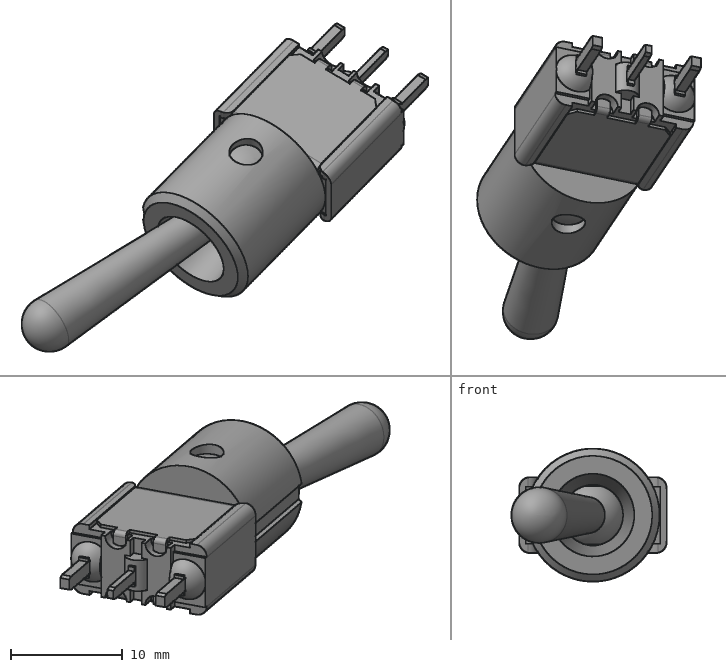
import cadquery as cq
import math


bushing_radius = 5.95
bushing_length = 12.0
bushing_front = -8.1
bushing_rear = bushing_front + bushing_length
bushing_chamfer = 0.65
bore_front_radius = 3.7
bore_throat_radius = 2.7
keyway_width = 1.8
keyway_depth = 0.6

tilt_degrees = 12.0
tip_radius = 2.5
tip_distance = 23.1
shaft_root_radius = 1.53
ball_radius = 3.0
pin_radius = 1.5
pin_edge_height = 5.0
pin_dome_height = 0.25

case_half_width = 6.6
case_half_height = 3.4
case_corner_radius = 1.0
frame_rear = 14.3
frame_wall = 0.6
cover_half_width = 4.95
cover_recess = 0.1
cover_bend_radius = 0.8
cover_rear = 13.5
cover_corner = 0.75
core_half_height = 3.0
core_rear = 14.6
front_recess_half_height = 2.55
front_recess_depth = 0.15
flange_rounding = 0.85

block_half_width = 3.43
block_rear = 15.1
scoop_offset = 1.97
scoop_radius = 1.05
scoop_front = 13.9
tab_width = 1.25
tab_rear = 14.35
tab_bend_radius = 0.45
slot_width = 1.15
slot_front = 14.35
slot_floor = 1.0

terminal_pitch = 4.7
side_terminal_width = 0.9
side_terminal_height = 1.3
side_terminal_rear = 20.1
middle_terminal_width = 0.6
middle_terminal_height = 1.1
middle_terminal_rear = 20.54
terminal_tip_length = 0.42
terminal_tip_inset = 0.15
shoulder_height = 1.9
shoulder_front = 15.8
shoulder_rear = 16.1
side_mound_radius = 2.15
side_mound_peak = 15.8
middle_mound_radius = 1.25
middle_mound_peak = 15.8
middle_mound_height = 3.0


def block(x_min, x_max, y_min, y_max, z_min, z_max):
    """A box given by its limits along each axis."""
    size = (x_max - x_min, y_max - y_min, z_max - z_min)
    return cq.Workplane("XY").box(*size, centered=False).translate((x_min, y_min, z_min))


def centered_block(half_width, y_min, y_max, half_height):
    """A box centred on the bushing axis."""
    return block(-half_width, half_width, y_min, y_max, -half_height, half_height)


def make_bushing():
    """The round bushing with its chamfered end and its keyway."""
    bushing = (
        cq.Workplane("XZ", origin=(0, bushing_rear, 0))
        .circle(bushing_radius)
        .extrude(bushing_length)
        .faces("<Y")
        .chamfer(bushing_chamfer)
    )
    keyway = block(
        -2 * bushing_radius, keyway_depth - bushing_radius,
        bushing_front, bushing_rear,
        -keyway_width / 2, keyway_width / 2,
    )
    return bushing.cut(keyway)


def make_bore():
    """The tapered mouth, the ball socket behind it and the cross hole for the pivot pin."""
    throat = -math.sqrt(ball_radius**2 - bore_throat_radius**2)
    mouth = (
        cq.Workplane("XY")
        .polyline([
            (0, bushing_front),
            (bore_front_radius, bushing_front),
            (bore_throat_radius, throat),
            (0, throat),
        ])
        .close()
        .revolve(360, (0, 0, 0), (0, 1, 0))
    )
    socket = cq.Workplane("XY").sphere(ball_radius)
    cross_hole = cq.Workplane("XY").circle(pin_radius).extrude(bushing_radius, both=True)
    return mouth.union(socket).union(cross_hole)


def make_frame():
    """The channel-shaped frame: two flanged side walls, open between them.

    The front of each wall has a shallow recess, and its flanges have a rounded inner corner.
    """
    wall_inside = case_half_width - frame_wall
    frame = centered_block(case_half_width, bushing_rear, frame_rear, case_half_height)
    frame = frame.edges("|Y").fillet(case_corner_radius)
    opening = centered_block(cover_half_width, bushing_rear, frame_rear, 2 * case_half_height)
    frame = frame.cut(opening)
    web = centered_block(case_half_width, bushing_rear, frame_rear, front_recess_half_height)
    rounding_center_y = bushing_rear + flange_rounding
    for side in (-1, 1):
        flange_corner = (
            centered_block(flange_rounding, bushing_rear, rounding_center_y, 2 * case_half_height)
            .translate((side * cover_half_width, 0, 0))
            .cut(
                cq.Workplane("XY")
                .center(side * (cover_half_width + flange_rounding), rounding_center_y)
                .circle(flange_rounding)
                .extrude(2 * case_half_height, both=True)
            )
        )
        recess_limits = sorted((side * cover_half_width, side * wall_inside))
        recess = block(
            *recess_limits,
            bushing_rear, bushing_rear + front_recess_depth,
            -front_recess_half_height, front_recess_half_height,
        )
        frame = frame.cut(flange_corner.cut(web)).cut(recess)
    return frame


def make_cover():
    """The cover: bent over at the front, with clipped corners and two tabs at the rear."""
    cover_half_height = case_half_height - cover_recess
    cover = (
        centered_block(cover_half_width, bushing_rear, cover_rear, cover_half_height)
        .edges("<Y and |X")
        .fillet(cover_bend_radius)
        .edges(">Y and |Z")
        .chamfer(cover_corner)
    )
    for side in (-1, 1):
        tab_center = side * scoop_offset
        tab = block(
            tab_center - tab_width / 2, tab_center + tab_width / 2,
            cover_rear, tab_rear,
            -cover_half_height, cover_half_height,
        )
        cover = cover.union(tab.edges(">Y and |X").fillet(tab_bend_radius))
    return cover


def make_core():
    """The moulded core of the case and its terminal block, scooped out behind the cover tabs."""
    core_front = bushing_rear + cover_bend_radius
    flat_half_height = case_half_height - case_corner_radius
    core = centered_block(cover_half_width, core_front, frame_rear, core_half_height)
    rear_plate = centered_block(case_half_width, frame_rear, core_rear, flat_half_height)
    terminal_block = centered_block(block_half_width, frame_rear, block_rear, core_half_height)
    core = core.union(rear_plate).union(terminal_block)
    for face in (-1, 1):
        for side in (-1, 1):
            scoop = (
                cq.Workplane("XZ", origin=(side * scoop_offset, block_rear, face * core_half_height))
                .circle(scoop_radius)
                .extrude(block_rear - scoop_front)
            )
            core = core.cut(scoop)
        slot_limits = sorted((face * slot_floor, face * core_half_height))
        slot = block(-slot_width / 2, slot_width / 2, slot_front, block_rear, *slot_limits)
        core = core.cut(slot)
    return core


def make_terminal(x, width, height, rear):
    """A flat terminal with a tapered tip and a shoulder where it leaves the case."""
    tip_start = rear - terminal_tip_length
    tip_half_height = height / 2 - terminal_tip_inset
    blade = (
        cq.Workplane("YZ", origin=(x, 0, 0))
        .polyline([
            (frame_rear, -height / 2),
            (tip_start, -height / 2),
            (rear, -tip_half_height),
            (rear, tip_half_height),
            (tip_start, height / 2),
            (frame_rear, height / 2),
        ])
        .close()
        .extrude(width / 2, both=True)
    )
    shoulder = block(
        x - width / 2, x + width / 2,
        shoulder_front, shoulder_rear,
        -shoulder_height / 2, shoulder_height / 2,
    )
    return blade.union(shoulder)


def make_side_mound(side):
    """A domed seal around an outer terminal, trimmed by the case side and the terminal block."""
    dome_center = (side * terminal_pitch, side_mound_peak - side_mound_radius, 0)
    dome = cq.Workplane("XY").sphere(side_mound_radius).translate(dome_center)
    limits = sorted((side * block_half_width, side * case_half_width))
    return dome.intersect(block(*limits, frame_rear, side_mound_peak, -case_half_height, case_half_height))


def make_middle_mound():
    """A rounded seal around the middle terminal."""
    center_y = middle_mound_peak - middle_mound_radius
    return (
        cq.Workplane("XY")
        .center(0, center_y)
        .circle(middle_mound_radius)
        .extrude(middle_mound_height / 2, both=True)
    )


def make_housing():
    """The bushing, case, seals and terminals as one solid."""
    housing = make_bushing().union(make_frame()).union(make_core()).union(make_cover())
    for side in (-1, 1):
        terminal = make_terminal(
            side * terminal_pitch, side_terminal_width, side_terminal_height, side_terminal_rear
        )
        housing = housing.union(make_side_mound(side)).union(terminal)
    middle_terminal = make_terminal(
        0, middle_terminal_width, middle_terminal_height, middle_terminal_rear
    )
    housing = housing.union(make_middle_mound()).union(middle_terminal)
    return housing.cut(make_bore())


def make_handle():
    """The tapered shaft and its ball tip, tangent to each other and tilted towards -X."""
    taper = math.asin((tip_radius - shaft_root_radius) / tip_distance)
    joint_radius = tip_radius * math.cos(taper)
    joint_distance = tip_distance - tip_radius * math.sin(taper)
    upright = (
        cq.Workplane("XY")
        .moveTo(0, 0)
        .lineTo(shaft_root_radius * math.cos(taper), 0)
        .lineTo(joint_radius, -joint_distance)
        .threePointArc(
            (tip_radius * math.sin(math.pi / 4), -tip_distance - tip_radius * math.cos(math.pi / 4)),
            (0, -tip_distance - tip_radius),
        )
        .close()
        .revolve(360, (0, 0, 0), (0, 1, 0))
    )
    return upright.rotate((0, 0, 0), (0, 0, 1), -tilt_degrees)


def make_pivot_pin():
    """The cross pin through the ball, domed at both ends."""
    dome_top = pin_edge_height + pin_dome_height
    dome_radius = (pin_radius**2 + pin_dome_height**2) / (2 * pin_dome_height)
    half_chord = pin_radius / 2
    half_chord_height = dome_top - dome_radius + math.sqrt(dome_radius**2 - half_chord**2)
    return (
        cq.Workplane("XZ")
        .moveTo(0, -dome_top)
        .threePointArc((half_chord, -half_chord_height), (pin_radius, -pin_edge_height))
        .lineTo(pin_radius, pin_edge_height)
        .threePointArc((half_chord, half_chord_height), (0, dome_top))
        .close()
        .revolve(360, (0, 0, 0), (0, 1, 0))
    )


def make_lever():
    """The handle, pivot ball and domed pivot pin as one solid."""
    ball = cq.Workplane("XY").sphere(ball_radius)
    return ball.union(make_pivot_pin()).union(make_handle())


housing = make_housing()
lever = make_lever()
result = cq.Compound.makeCompound([housing.val(), lever.val()])